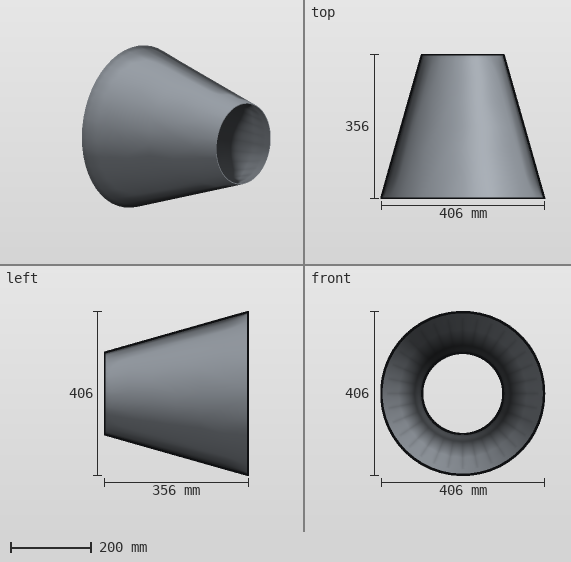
import cadquery as cq
import math

large_diameter = 406.0
small_diameter = 204.0
length = 356.0
sheet_thickness = 2.0

large_radius = large_diameter / 2
small_radius = small_diameter / 2
half_angle = math.atan2(large_radius - small_radius, length)
radial_wall = sheet_thickness / math.cos(half_angle)


def make_reducer():
    """Revolve the slanted wall section around the Y axis."""
    wall_section = (
        cq.Workplane("XY")
        .moveTo(large_radius - radial_wall, 0)
        .lineTo(large_radius, 0)
        .lineTo(small_radius, length)
        .lineTo(small_radius - radial_wall, length)
        .close()
    )
    return wall_section.revolve(360, (0, 0, 0), (0, 1, 0))


result = make_reducer()